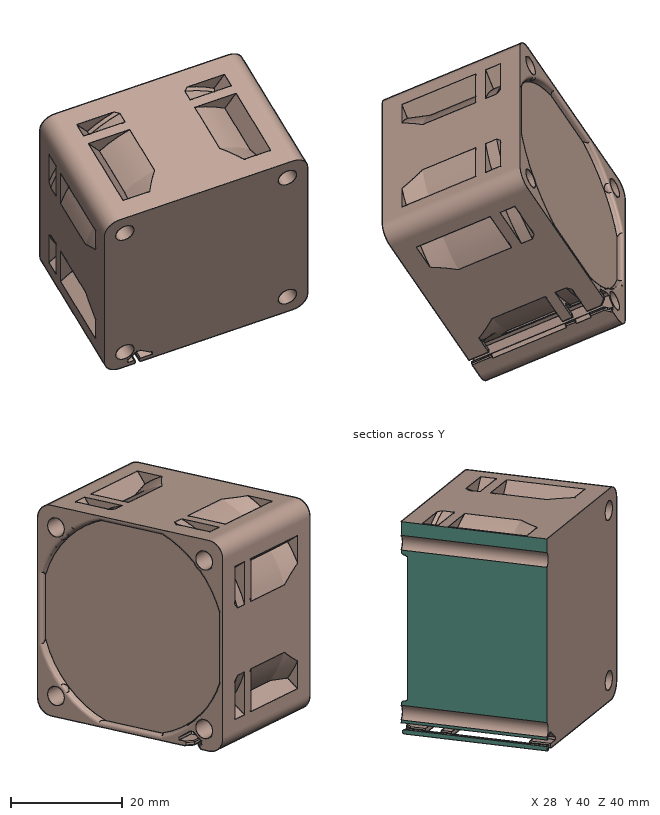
import cadquery as cq
import math

length = 28.0
side = 40.0
half_side = side / 2
corner_radius = 3.0

hole_diameter = 3.6
hole_pitch = 32.0
hole_boss_radius = 2.6

recess_radius = 20.2
recess_floor_radius = 20.0
recess_side = 38.1
recess_depth = 1.2
recess_rim_radius = 0.6

wall_angle = 36.0
window_spans = [(4.0, 7.0), (9.0, 24.0)]
window_start = window_spans[0][0]
window_end = window_spans[-1][1]
drum_radius = 21.0
drum_start_radius = 21.25
drum_end_radius = 22.05
start_taper_length = 0.75
end_taper_length = 4.2
sector_reach = side

slit_y = -13.55
slit_width = 0.8
mouth_width = 3.0
lip_thickness = 0.9
lip_chamfer = 0.22
lip_chamfer_angle = 45.0
channel_left_y = -10.6
channel_right_y = -15.4
channel_top_left_y = -12.9
channel_top_right_y = -13.65
channel_left_wall_height = 0.5
channel_right_wall_height = 0.65
channel_height = 2.1

section = cq.Workplane("YZ")
hole_centres = section.rect(hole_pitch, hole_pitch, forConstruction=True).vertices()


def make_block():
    block = section.rect(side, side).extrude(length)
    return block.edges("|X").fillet(corner_radius)


def make_holes():
    return hole_centres.circle(hole_diameter / 2).extrude(length)


def rounded_profile(mouth, wall, floor):
    """Half section in XY from the X axis: height mouth at X = 0, a quarter round to wall, then to floor."""
    arc_share = math.sin(math.radians(45))
    arc_middle = (recess_rim_radius * (1 - arc_share), mouth + (wall - mouth) * arc_share)
    return (
        cq.Workplane("XY")
        .moveTo(0, 0)
        .lineTo(0, mouth)
        .threePointArc(arc_middle, (recess_rim_radius, wall))
        .lineTo(recess_depth, floor)
        .lineTo(recess_depth, 0)
        .close()
    )


def make_flared_disc():
    profile = rounded_profile(recess_radius + recess_rim_radius, recess_radius, recess_floor_radius)
    return profile.revolve(360, (0, 0, 0), (1, 0, 0))


def make_flared_slab():
    """Slab centred on the X axis whose two flat sides flare out at X = 0."""
    wall = recess_side / 2
    half_slab = rounded_profile(wall + recess_rim_radius, wall, wall).extrude(half_side, both=True)
    return half_slab.union(half_slab.mirror("XZ"))


def make_hole_boss():
    """Post on the X axis that keeps the recess clear of a hole, narrowing with the rounded rim."""
    profile = rounded_profile(hole_boss_radius - recess_rim_radius, hole_boss_radius, hole_boss_radius)
    return profile.revolve(360, (0, 0, 0), (1, 0, 0))


def make_recess():
    """Recess cutter: a flared disc trimmed by four flared flats and by the hole bosses."""
    slab = make_flared_slab()
    recess = make_flared_disc().intersect(slab)
    recess = recess.intersect(slab.rotate((0, 0, 0), (1, 0, 0), 90))
    boss = make_hole_boss()
    for y_sign in (-1, 1):
        for z_sign in (-1, 1):
            offset = (0, y_sign * hole_pitch / 2, z_sign * hole_pitch / 2)
            recess = recess.cut(boss.translate(offset))
    return recess


def make_drum():
    """Solid of revolution about X whose surface forms the window floors."""
    profile = [
        (window_start, 0),
        (window_start, drum_start_radius),
        (window_start + start_taper_length, drum_radius),
        (window_end - end_taper_length, drum_radius),
        (window_end, drum_end_radius),
        (window_end, 0),
    ]
    return cq.Workplane("XY").polyline(profile).close().revolve(360, (0, 0, 0), (1, 0, 0))


def make_windows():
    """Wedges towards each flat side, less the drum: two pockets per side in each X span."""
    rise = sector_reach * math.tan(math.radians(wall_angle))
    wedge_points = [(0, 0), (sector_reach, -rise), (sector_reach, rise)]
    windows = cq.Workplane("XY")
    for x_from, x_to in window_spans:
        wedge = section.workplane(offset=x_from).polyline(wedge_points).close().extrude(x_to - x_from)
        for quarter in range(4):
            windows = windows.add(wedge.rotate((0, 0, 0), (1, 0, 0), 90 * quarter))
    return windows.combine().cut(make_drum())


def make_channel():
    """Arrow-shaped channel over the full length, with its slit and tapered mouth."""
    base_z = -half_side + lip_thickness
    top_z = base_z + channel_height
    arrow_points = [
        (channel_left_y, base_z),
        (channel_left_y, base_z + channel_left_wall_height),
        (channel_top_left_y, top_z),
        (channel_top_right_y, top_z),
        (channel_right_y, base_z + channel_right_wall_height),
        (channel_right_y, base_z),
    ]
    arrow = section.polyline(arrow_points).close().extrude(length)

    mouth_depth = (mouth_width - slit_width) / 2
    slit_points = [
        (0, slit_y - mouth_width / 2),
        (mouth_depth, slit_y - slit_width / 2),
        (length, slit_y - slit_width / 2),
        (length, slit_y + slit_width / 2),
        (mouth_depth, slit_y + slit_width / 2),
        (0, slit_y + mouth_width / 2),
    ]
    slit_middle_z = -half_side + lip_thickness / 2
    slit_plane = cq.Workplane("XY", origin=(0, 0, slit_middle_z))
    slit = slit_plane.polyline(slit_points).close().extrude(lip_thickness / 2, both=True)
    flare_plane = slit_plane.workplane(offset=lip_thickness / 2 - lip_chamfer)
    upper_flare = flare_plane.polyline(slit_points).close().extrude(lip_chamfer, taper=-lip_chamfer_angle)
    lower_flare = upper_flare.mirror("XY", (0, 0, slit_middle_z))
    return arrow.union(slit).union(upper_flare).union(lower_flare)


body = make_block().cut(make_recess())
body = body.cut(make_windows())
body = body.cut(make_holes())
result = body.cut(make_channel())